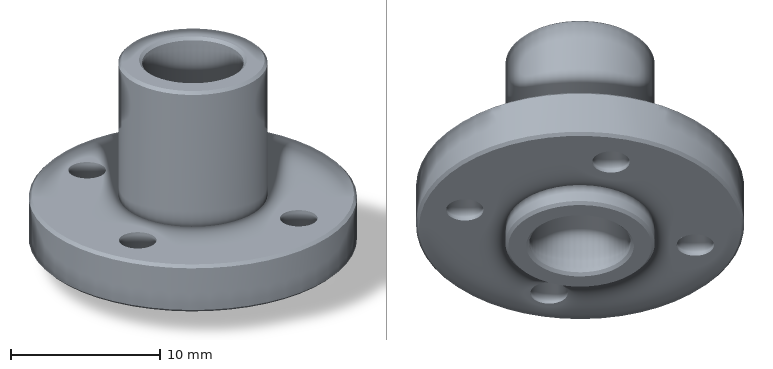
import cadquery as cq

flange_diameter = 22.0
flange_thickness = 3.5
barrel_diameter = 10.0
barrel_above_flange = 10.0
barrel_below_flange = 1.5
bore_diameter = 6.82
mount_hole_diameter = 2.5
bolt_circle_diameter = 16.0
mount_hole_count = 4
edge_chamfer = 0.2

total_height = barrel_below_flange + flange_thickness + barrel_above_flange


def chamfered_disc(diameter, height, base_z):
    """Upright cylinder with both rims chamfered."""
    disc = cq.Workplane("XY").workplane(offset=base_z).circle(diameter / 2).extrude(height)
    return disc.faces("<Z or >Z").edges().chamfer(edge_chamfer)


barrel = chamfered_disc(barrel_diameter, total_height, 0)
flange = chamfered_disc(flange_diameter, flange_thickness, barrel_below_flange)
body = barrel.union(flange)

bore = cq.Workplane("XY").circle(bore_diameter / 2).extrude(total_height)
body = body.cut(bore)
bore_mouths = body.faces("<Z or >Z").edges(cq.selectors.RadiusNthSelector(0))
body = bore_mouths.chamfer(edge_chamfer)

mount_holes = (
    cq.Workplane("XY")
    .workplane(offset=barrel_below_flange)
    .polarArray(bolt_circle_diameter / 2, 0, 360, mount_hole_count)
    .circle(mount_hole_diameter / 2)
    .extrude(flange_thickness)
)

result = body.cut(mount_holes)